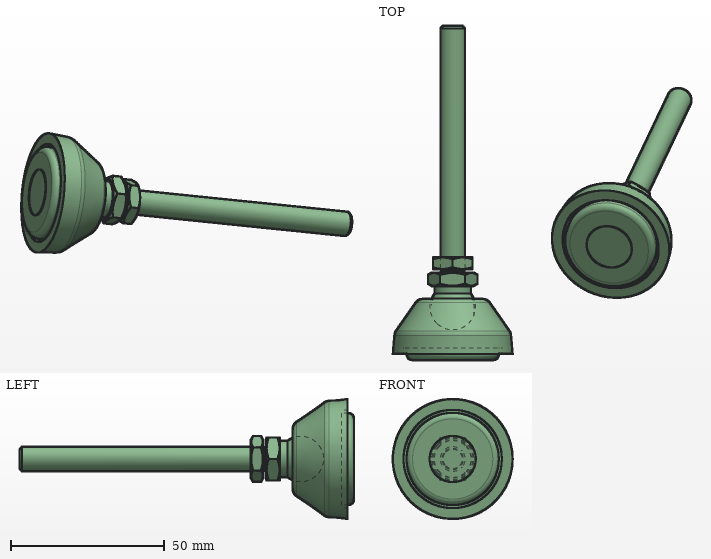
import cadquery as cq
import math


total_length = 108.7
foot_height = 20.0
rim_diameter = 39.0
rim_radius = rim_diameter / 2
sole_step = 2.1
skirt_top = 8.9
skirt_top_radius = 18.9
cone_top_radius = 11.2
foot_corner_fillet = 3.0
sole_radius = 15.0
sole_fillet = 2.0
groove_outer_radius = 16.0
groove_depth = 2.0
sole_recess_radius = 7.5
sole_recess_depth = 0.2

ball_radius = 7.4
neck_radius = 6.0
neck_bottom = 21.6
ball_center = neck_bottom - math.sqrt(ball_radius**2 - neck_radius**2)
spindle_hex_bottom = 24.0
spindle_hex_height = 4.6
spindle_hex_flats = 14.0
spindle_hex_top = spindle_hex_bottom + spindle_hex_height
rod_radius = 4.0
rod_tip_chamfer = 0.9
relief_radius = 3.5
relief_taper = rod_radius - relief_radius

nut_gap = 0.9
nut_bottom = spindle_hex_top + nut_gap
nut_height = 4.1
nut_flats = 12.9

hex_half_angle = 30.0
corner_chamfer_angle = 30.0
hex_face_ratio = 0.95


def revolve_about_y(profile):
    return profile.close().revolve(360, (0, 0, 0), (0, 1, 0))


def cylinder(radius, bottom, top):
    return cq.Workplane("XZ", origin=(0, bottom, 0)).circle(radius).extrude(bottom - top)


def ball():
    return cq.Workplane("XY").sphere(ball_radius).translate((0, ball_center, 0))


def chamfered_hexagon(flats, bottom, height, turn):
    """Hexagon along Y with conical end chamfers; turn 0 puts corners on X."""
    corners = flats / math.cos(math.radians(hex_half_angle))
    face_radius = hex_face_ratio * flats / 2
    corner_radius = corners / 2
    drop = (corner_radius - face_radius) * math.tan(math.radians(corner_chamfer_angle))
    top = bottom + height
    prism = cq.Workplane("XZ", origin=(0, bottom, 0)).polygon(6, corners).extrude(-height)
    prism = prism.rotate((0, 0, 0), (0, 1, 0), turn)
    envelope = revolve_about_y(
        cq.Workplane("XY")
        .moveTo(0, bottom)
        .lineTo(face_radius, bottom)
        .lineTo(corner_radius, bottom + drop)
        .lineTo(corner_radius, top - drop)
        .lineTo(face_radius, top)
        .lineTo(0, top)
    )
    return prism.intersect(envelope)


def make_foot():
    shell = revolve_about_y(
        cq.Workplane("XY")
        .moveTo(0, sole_step)
        .lineTo(rim_radius, sole_step)
        .lineTo(skirt_top_radius, skirt_top)
        .lineTo(cone_top_radius, foot_height)
        .lineTo(0, foot_height)
    )
    above_rim = cq.selectors.BoxSelector(
        (-rim_radius, (sole_step + skirt_top) / 2, -rim_radius),
        (rim_radius, total_length, rim_radius),
    )
    shell = shell.edges("%CIRCLE").edges(above_rim).fillet(foot_corner_fillet)
    shell = shell.cut(cylinder(groove_outer_radius, sole_step, sole_step + groove_depth))

    sole = cylinder(sole_radius, 0, sole_step + groove_depth)
    sole = sole.faces("<Y").edges().fillet(sole_fillet)
    recess = cylinder(sole_recess_radius, 0, sole_recess_depth)
    return shell.union(sole).cut(recess).cut(ball())


def make_spindle():
    shaft = revolve_about_y(
        cq.Workplane("XY")
        .moveTo(0, ball_center)
        .lineTo(neck_radius, ball_center)
        .lineTo(neck_radius, spindle_hex_bottom)
        .lineTo(rod_radius, spindle_hex_bottom)
        .lineTo(rod_radius, spindle_hex_top)
        .lineTo(relief_radius, spindle_hex_top + relief_taper)
        .lineTo(relief_radius, nut_bottom)
        .lineTo(rod_radius, nut_bottom)
        .lineTo(rod_radius, total_length - rod_tip_chamfer)
        .lineTo(rod_radius - rod_tip_chamfer, total_length)
        .lineTo(0, total_length)
    )
    hexagon = chamfered_hexagon(spindle_hex_flats, spindle_hex_bottom, spindle_hex_height, 0)
    return ball().union(shaft).union(hexagon)


def make_nut():
    hexagon = chamfered_hexagon(nut_flats, nut_bottom, nut_height, hex_half_angle)
    return hexagon.cut(cylinder(rod_radius, nut_bottom, nut_bottom + nut_height))


foot = make_foot()
spindle = make_spindle()
nut = make_nut()

result = cq.Compound.makeCompound([foot.solids().val(), spindle.solids().val(), nut.solids().val()])